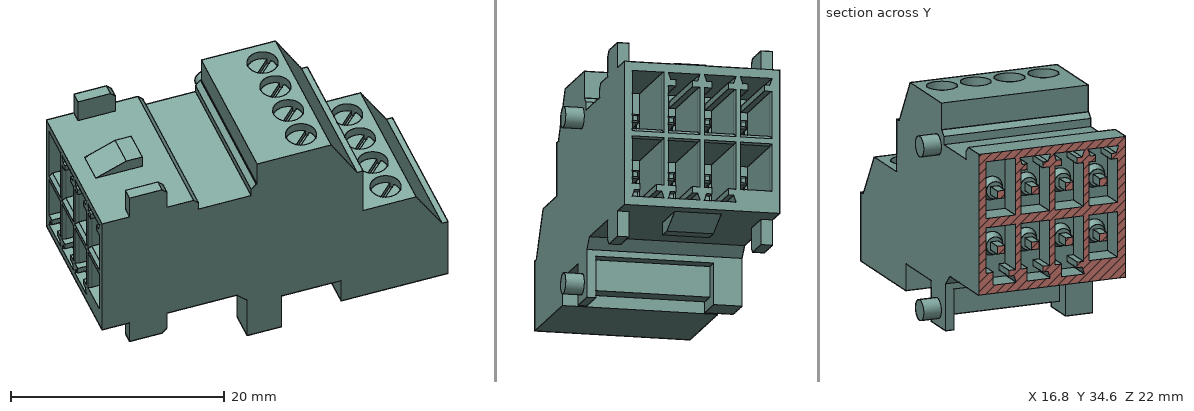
import cadquery as cq


body_width = 15.0
body_length = 34.6
body_height = 22.0
mid_x = body_width / 2
poles = 4

plug_bottom = 5.6
plug_top = 19.4
edge_chamfer = 0.5

groove_front = 9.65
groove_back = 14.9
groove_floor = 18.1
upper_deck_front = 15.5

ledge_length = 0.6
label_run = 2.6
upper_deck_back = 26.1
upper_ledge_z = 17.55
lower_deck_z = 12.4
lower_ledge_z = 8.1

rear_block_bottom = 1.36
rear_block_front = 23.9
slot_ceiling = 4.0
feet_back = 17.95
feet_front = 14.5
feet_chamfer = 1.0
left_foot_width = 0.87
right_foot_width = 2.75
bridge_bottom = 1.05
bridge_front = 16.0

pin_length = 1.79
pin_radius = 1.0
pin_y = 16.5
pin_heights = (1.7, 17.7)

tab_width = 1.13
tab_front = 2.75
tab_back = 6.5
tab_height = 2.43
latch_front = 1.6
latch_ridge = 4.65
latch_back = 6.25
latch_height = 1.2
top_latch_width = 3.0
bottom_latch_width = 4.5

screw_pitch = 3.45
screw_diameter = 2.9
screw_depth = 0.9
screw_slot_width = 0.42
screw_slot_depth = 0.5
screw_slot_angle = -45
upper_screw_y = 20.75
lower_screw_y = 29.2

cavity_pitch = 3.48
cavity_depth = 9.0
cavity_width = 2.86
lead_in_depth = 0.35
lead_in_side = 0.1
upper_cavity_bottom = 13.05
upper_cavity_top = 17.3
upper_lead_in = 0.3
lower_cavity_bottom = 7.7
lower_cavity_top = 12.1
lower_lead_in = 0.15

mouth_width = cavity_width + 2 * lead_in_side
neck_width = 1.57
neck_height = 0.6
dovetail_narrow = 2.6
key_height = 1.25
blocked_dovetail_depth = 1.0

collar_radius = 1.15
collar_tip_radius = 0.83
collar_height = 0.8
contact_size = 0.8
contact_length = 4.0
contact_bevel = 0.17
upper_contact_z = 15.2
lower_contact_z = 9.8


def row_positions(pitch):
    """X centres of one row of poles, centred on the body."""
    return [mid_x + (i - (poles - 1) / 2) * pitch for i in range(poles)]


def box(x0, x1, y0, y1, z0, z1):
    """Box given by its limits along each axis."""
    return cq.Workplane("XY").box(x1 - x0, y1 - y0, z1 - z0, centered=False).translate((x0, y0, z0))


def extrude_along_x(points, x0, x1):
    """Prism along X from a closed outline of (y, z) points."""
    return cq.Workplane("YZ").polyline(points).close().extrude(x1 - x0).translate((x0, 0, 0))


def extrude_from_face(points, depth):
    """Prism from the mating face into the body, from a closed outline of (x, z) points."""
    return cq.Workplane("XZ").polyline(points).close().extrude(-depth)


def make_housing():
    upper_ledge_front = upper_deck_back - ledge_length
    lower_ledge_front = body_length - ledge_length
    outline = [
        (0, plug_bottom),
        (0, plug_top),
        (groove_front - edge_chamfer, plug_top),
        (groove_front, plug_top - edge_chamfer),
        (groove_front, groove_floor),
        (groove_back, groove_floor),
        (groove_back, plug_top - edge_chamfer),
        (groove_back + edge_chamfer, plug_top),
        (upper_deck_front, plug_top),
        (upper_deck_front, body_height),
        (upper_ledge_front - label_run, body_height),
        (upper_ledge_front, upper_ledge_z),
        (upper_deck_back, upper_ledge_z),
        (upper_deck_back, lower_deck_z),
        (lower_ledge_front - label_run, lower_deck_z),
        (lower_ledge_front, lower_ledge_z),
        (body_length, lower_ledge_z),
        (body_length, rear_block_bottom),
        (rear_block_front, rear_block_bottom),
        (rear_block_front, slot_ceiling),
        (feet_back, slot_ceiling),
        (feet_back, 0),
        (feet_front, 0),
        (feet_front, plug_bottom - feet_chamfer),
        (feet_front - feet_chamfer, plug_bottom),
    ]
    return extrude_along_x(outline, 0, body_width)


def make_foot_gap():
    """Space between the feet, leaving a recessed bridge across the back of them."""
    gap_left = left_foot_width
    gap_right = body_width - right_foot_width
    under_bridge = box(gap_left, gap_right, feet_front, feet_back, 0, bridge_bottom)
    ahead_of_bridge = box(gap_left, gap_right, feet_front, bridge_front, 0, slot_ceiling)
    return under_bridge.union(ahead_of_bridge)


def make_locating_pin(z):
    pin = cq.Workplane("YZ").center(pin_y, z).circle(pin_radius)
    return pin.extrude(-pin_length)


def make_tab(x0, face_z, direction):
    """Corner tab standing off the plug section, up (+1) or down (-1)."""
    tip_z = face_z + direction * tab_height
    outline = [
        (tab_front, face_z),
        (tab_front, tip_z),
        (tab_back - edge_chamfer, tip_z),
        (tab_back, tip_z - direction * edge_chamfer),
        (tab_back, face_z),
    ]
    return extrude_along_x(outline, x0, x0 + tab_width)


def make_latch(width, face_z, direction):
    """Wedge that ramps up to a flat ridge, up (+1) or down (-1)."""
    ridge_z = face_z + direction * latch_height
    outline = [
        (latch_front, face_z),
        (latch_ridge, ridge_z),
        (latch_back, ridge_z),
        (latch_back, face_z),
    ]
    return extrude_along_x(outline, mid_x - width / 2, mid_x + width / 2)


def make_screw_well(x, y, deck_z):
    """Round well above a screw head, with the diagonal driver slot below it."""
    floor_z = deck_z - screw_depth
    well = cq.Workplane("XY").circle(screw_diameter / 2).extrude(screw_depth)
    slot = cq.Workplane("XY").rect(screw_diameter, screw_slot_width).extrude(-screw_slot_depth)
    slot = slot.rotate((0, 0, 0), (0, 0, 1), screw_slot_angle)
    head = cq.Workplane("XY").circle(screw_diameter / 2).extrude(-screw_slot_depth)
    return well.union(slot.intersect(head)).translate((x, y, floor_z))


def make_lead_in(x0, x1, z0, z1, left, bottom, top):
    """Tapered mouth: the cavity limits grown by the lead-in at the mating face."""
    mouth_x0 = x0 - left
    mouth_x1 = x1 + lead_in_side
    mouth_z0 = z0 - bottom
    mouth_z1 = z1 + top
    mouth = [(mouth_x0, mouth_z0), (mouth_x1, mouth_z0), (mouth_x1, mouth_z1), (mouth_x0, mouth_z1)]
    throat = [(x0, z0), (x1, z0), (x1, z1), (x0, z1)]
    sketch = cq.Workplane("XZ").polyline(mouth).close()
    return sketch.workplane(offset=-lead_in_depth).polyline(throat).close().loft(ruled=True)


def make_dovetail_half(x, edge_z, direction, side, depth):
    """One half of a dovetail, left (-1) or right (+1) of the cavity centre."""
    neck_end = edge_z + direction * neck_height
    key_end = edge_z + direction * key_height
    points = [
        (x, neck_end),
        (x + side * dovetail_narrow / 2, neck_end),
        (x + side * mouth_width / 2, key_end),
        (x, key_end),
    ]
    return extrude_from_face(points, depth)


def make_keyway(x, edge_z, direction, left_depth):
    """Neck and dovetail beyond a cavity edge, up (+1) or down (-1)."""
    key_end = edge_z + direction * key_height
    z0 = min(edge_z, key_end)
    z1 = max(edge_z, key_end)
    neck = box(x - neck_width / 2, x + neck_width / 2, 0, cavity_depth, z0, z1)
    left = make_dovetail_half(x, edge_z, direction, -1, left_depth)
    right = make_dovetail_half(x, edge_z, direction, 1, cavity_depth)
    return neck.union(left).union(right)


def cavity_limits(x, is_first):
    """Left and right limits; the first cavity has no lead-in at the outer wall."""
    left_lead_in = 0 if is_first else lead_in_side
    left = x - mouth_width / 2 + left_lead_in
    right = x + cavity_width / 2
    return left, right, left_lead_in


def make_upper_cavity(x, is_first):
    """Upper cavity: keyed at the top, except the first, which is a plain tall rectangle."""
    x0, x1, left_lead_in = cavity_limits(x, is_first)
    top = upper_cavity_top + key_height if is_first else upper_cavity_top
    cavity = box(x0, x1, 0, cavity_depth, upper_cavity_bottom, top)
    lead_in = make_lead_in(x0, x1, upper_cavity_bottom, top, left_lead_in, upper_lead_in, 0)
    cavity = cavity.union(lead_in)
    if is_first:
        return cavity
    return cavity.union(make_keyway(x, upper_cavity_top, 1, cavity_depth))


def make_lower_cavity(x, is_first, is_last):
    """Lower cavity: keyed at the bottom, except the last."""
    x0, x1, left_lead_in = cavity_limits(x, is_first)
    cavity = box(x0, x1, 0, cavity_depth, lower_cavity_bottom, lower_cavity_top)
    lead_in = make_lead_in(
        x0, x1, lower_cavity_bottom, lower_cavity_top, left_lead_in, 0, lower_lead_in
    )
    cavity = cavity.union(lead_in)
    if is_last:
        return cavity
    return cavity.union(make_keyway(x, lower_cavity_bottom, -1, blocked_dovetail_depth))


def make_contact(x, z):
    """Square pin with a bevelled tip, rising from a conical collar on the cavity floor."""
    collar = cq.Workplane("XZ").circle(collar_radius)
    collar = collar.workplane(offset=collar_height).circle(collar_tip_radius).loft()
    pin = cq.Workplane("XZ").rect(contact_size, contact_size).extrude(contact_length)
    pin = pin.faces("<Y").chamfer(contact_bevel)
    return collar.union(pin).translate((x, cavity_depth, z))


result = make_housing().cut(make_foot_gap())
for pin_z in pin_heights:
    result = result.union(make_locating_pin(pin_z))
for face_z, direction in ((plug_top, 1), (plug_bottom, -1)):
    for tab_x in (0, body_width - tab_width):
        result = result.union(make_tab(tab_x, face_z, direction))
result = result.union(make_latch(top_latch_width, plug_top, 1))
result = result.union(make_latch(bottom_latch_width, plug_bottom, -1))

for screw_x in row_positions(screw_pitch):
    result = result.cut(make_screw_well(screw_x, upper_screw_y, body_height))
    result = result.cut(make_screw_well(screw_x, lower_screw_y, lower_deck_z))

for pole, cavity_x in enumerate(row_positions(cavity_pitch)):
    first = pole == 0
    last = pole == poles - 1
    result = result.cut(make_upper_cavity(cavity_x, first))
    result = result.cut(make_lower_cavity(cavity_x, first, last))
    result = result.union(make_contact(cavity_x, upper_contact_z))
    result = result.union(make_contact(cavity_x, lower_contact_z))